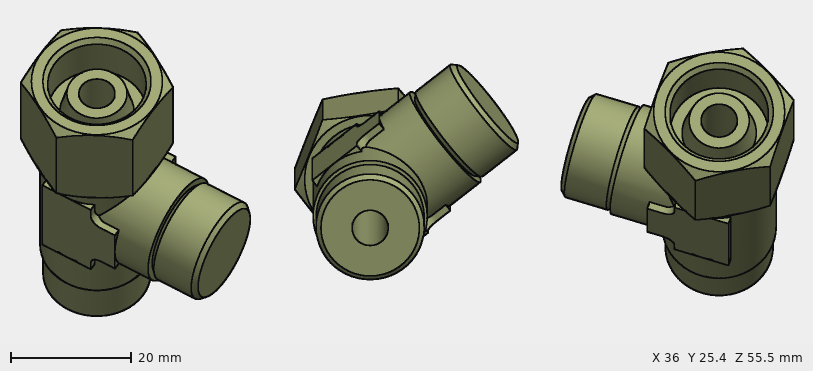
import cadquery as cq
import math

body_diameter = 19.0
body_radius = body_diameter / 2
bore_diameter = 6.0

thread_radius = 18.0 / 2
thread_root_radius = 16.38 / 2
thread_depth = thread_radius - thread_root_radius
thread_length = 9.0
thread_end_chamfer_length = 0.85
end_reach = 25.0
shoulder_reach = end_reach - thread_length

nut_across_flats = 22.0
nut_height = 18.0
nut_top = 30.5
nut_bottom = nut_top - nut_height
nut_corner_radius = nut_across_flats / math.sqrt(3)
nut_face_radius = 21.8 / 2
nut_chamfer_angle = math.radians(30)
nut_chamfer_height = (nut_corner_radius - nut_face_radius) * math.tan(nut_chamfer_angle)

socket_depth = 8.5
socket_floor = nut_top - socket_depth
spigot_top = nut_top - 3.5
spigot_top_radius = 10.0 / 2
spigot_base_radius = 12.35 / 2

pad_width = body_diameter / 2
pad_height = 17.0
pad_fillet = 2.0


def revolve_profile(points):
    """Solid of revolution about Z from (radius, Z) points."""
    return cq.Workplane("XZ").polyline(points).close().revolve(360, (0, 0, 0), (0, 1, 0))


def make_threaded_arm():
    """Body arm pointing down -Z from the centre, ending in a threaded length with a root groove."""
    return revolve_profile([
        (0, 0),
        (body_radius, 0),
        (body_radius, -shoulder_reach),
        (thread_root_radius, -shoulder_reach),
        (thread_radius, -shoulder_reach - thread_depth),
        (thread_radius, -end_reach + thread_end_chamfer_length),
        (thread_root_radius, -end_reach),
        (0, -end_reach),
    ])


def make_upper_body():
    """Plain cylinder from the branch axis up into the nut."""
    return cq.Workplane("XY").circle(body_radius).extrude(nut_bottom)


def make_nut():
    """Hexagon with corners on the Y axis, its corners cut back by a cone at both ends."""
    hexagon = (
        cq.Workplane("XY", origin=(0, 0, nut_bottom))
        .polygon(6, 2 * nut_corner_radius)
        .extrude(nut_height)
        .rotate((0, 0, 0), (0, 0, 1), 30)
    )
    chamfer_envelope = revolve_profile([
        (0, nut_bottom),
        (nut_face_radius, nut_bottom),
        (nut_corner_radius, nut_bottom + nut_chamfer_height),
        (nut_corner_radius, nut_top - nut_chamfer_height),
        (nut_face_radius, nut_top),
        (0, nut_top),
    ])
    return hexagon.intersect(chamfer_envelope)


def make_socket():
    """Ring-shaped space cut from the nut, leaving the conical spigot in the middle."""
    return revolve_profile([
        (0, nut_top),
        (thread_radius, nut_top),
        (thread_root_radius, nut_top - thread_depth),
        (thread_root_radius, socket_floor),
        (spigot_base_radius, socket_floor),
        (spigot_top_radius, spigot_top),
        (0, spigot_top),
    ])


def make_pads():
    """T-shaped block through the body; its two ends are the flats tangent to the cylinders."""
    stem = cq.Workplane("XY").box(pad_width, body_diameter, pad_height)
    arm = cq.Workplane("XY").box(body_radius, body_diameter, pad_width, centered=(False, True, True))
    corner = pad_width / 2
    margin = 0.1
    inner_corners = cq.selectors.BoxSelector(
        (corner - margin, -body_radius, -corner - margin),
        (corner + margin, body_radius, corner + margin),
    )
    return stem.union(arm).edges("|Y").edges(inner_corners).fillet(pad_fillet)


def make_bore():
    """Through hole along the run."""
    return (
        cq.Workplane("XY", origin=(0, 0, -end_reach))
        .circle(bore_diameter / 2)
        .extrude(end_reach + nut_top)
    )


run_end = make_threaded_arm()
branch = make_threaded_arm().rotate((0, 0, 0), (0, 1, 0), -90)

result = (
    run_end
    .union(make_upper_body())
    .union(branch)
    .union(make_pads())
    .union(make_nut())
    .cut(make_socket())
    .cut(make_bore())
)